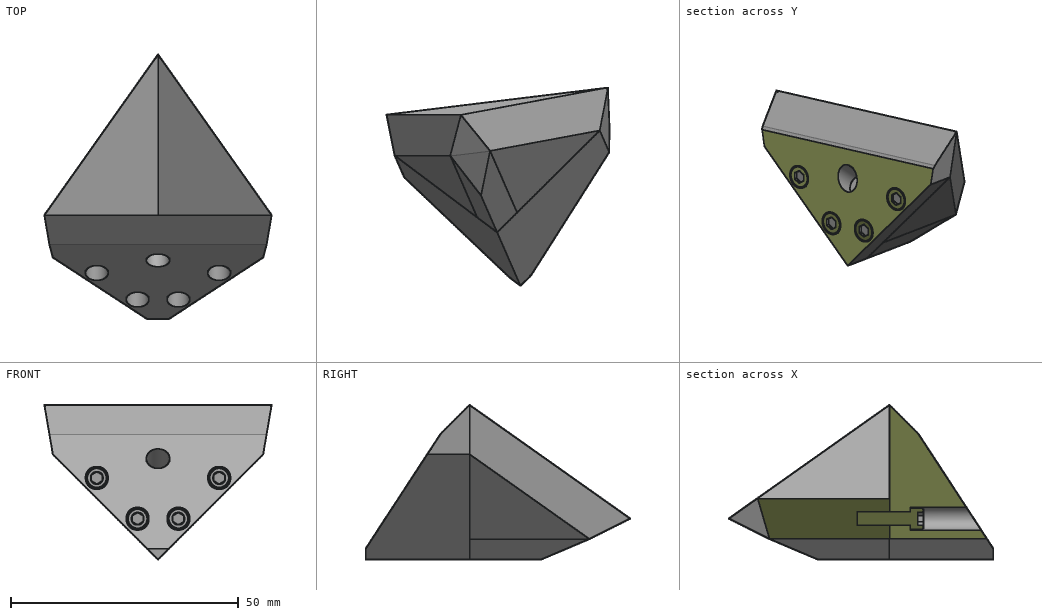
import cadquery as cq
import math


aperture_edge = 50.0
height = 34.0
overall_length = 58.2
nose_height = 2.4
top_chamfer = 6.4
keel_bottom_length = 15.8

post_hole_dia = 5.1
post_hole_depth = 9.0
post_hole_height = 22.2

screw_offsets = (4.5, 13.45)
recess_dia = 5.0
recess_floor = 4.65
head_dia = 4.65
head_height = 2.85
head_chamfer = 0.25
shank_dia = 2.85
thread_engagement = 7.0
socket_flats = 2.4
socket_depth = 1.3
socket_lead_in = 0.1

mirror_leg = aperture_edge / math.sqrt(2)
half_width = aperture_edge / 2
inner_corner_z = height - half_width
front_length = overall_length - mirror_leg
half_vee = inner_corner_z / 2

diagonal = math.sqrt(0.5)
rim_normal = cq.Vector((1 + diagonal) / 2, 0.5, (diagonal - 1) / 2)
rim_corner = (
    rim_normal.x * half_width + rim_normal.z * height
) / (rim_normal.x + rim_normal.z)
plate_end_y = (rim_corner - half_vee) * math.sqrt(2)


def side_profile(points):
    """Slab as wide as the part whose YZ outline is `points`."""
    return cq.Workplane("YZ").polyline(points).close().extrude(half_width, both=True)


def screw_axes():
    """X and Z of each screw axis, at mid-thickness of the plates."""
    return [(side * x, x + half_vee) for x in screw_offsets for side in (-1, 1)]


def rod(x, z, diameter, y_start, y_end):
    """Cylinder parallel to Y."""
    return (
        cq.Workplane("XZ", origin=(x, y_start, z))
        .circle(diameter / 2)
        .extrude(y_start - y_end)
    )


def make_front_block():
    section = [
        (0, 0),
        (rim_corner, rim_corner),
        (half_width, height),
        (-half_width, height),
        (-rim_corner, rim_corner),
    ]
    block = cq.Workplane("XZ").polyline(section).close().extrude(front_length)
    shoulder_z = height - top_chamfer
    block = block.intersect(side_profile([
        (0, 0),
        (-front_length, 0),
        (-front_length, nose_height),
        (-top_chamfer, shoulder_z),
        (0, height),
    ]))

    run = front_length - top_chamfer
    rise = shoulder_z - nose_height
    post_hole_y = -front_length + (post_hole_height - nose_height) * run / rise
    front_face = cq.Plane(
        origin=(0, post_hole_y, post_hole_height), xDir=(1, 0, 0), normal=(0, -rise, run)
    )
    block = block.cut(cq.Workplane(front_face).circle(post_hole_dia / 2).extrude(-post_hole_depth))

    for x, z in screw_axes():
        block = block.cut(rod(x, z, recess_dia, -front_length, -recess_floor))
        block = block.cut(rod(x, z, shank_dia, -recess_floor, 0))
    return block


def make_plate(side):
    """Mirror plate on the +X (side = 1) or -X (side = -1) flank of the V."""
    section = [
        (0, inner_corner_z),
        (side * half_width, height),
        (side * rim_corner, rim_corner),
        (side * half_vee, half_vee),
    ]
    plate = cq.Workplane("XZ").polyline(section).close().extrude(-mirror_leg)
    rim = cq.Plane(
        origin=(side * half_width, 0, height),
        xDir=(-side * half_width, mirror_leg, -half_width),
        normal=(side * rim_normal.x, rim_normal.y, rim_normal.z),
    )
    waste_size = 4 * aperture_edge
    plate = plate.cut(cq.Workplane(rim).rect(waste_size, waste_size).extrude(waste_size))
    for x, z in screw_axes():
        if x * side > 0:
            plate = plate.cut(rod(x, z, shank_dia, 0, thread_engagement))
    return plate


def make_keel():
    """Square bar on edge that fills the gap between the two plates."""
    section = [(0, 0), (half_vee, half_vee), (0, inner_corner_z), (-half_vee, half_vee)]
    bar = cq.Workplane("XZ").polyline(section).close().extrude(-mirror_leg)
    return bar.intersect(side_profile([
        (0, 0),
        (keel_bottom_length, 0),
        (plate_end_y, half_vee),
        (mirror_leg, inner_corner_z),
        (0, inner_corner_z),
    ]))


def make_screw(x, z):
    """Socket head cap screw with its head seated on the recess floor."""
    head_top = -recess_floor - head_height
    head = rod(x, z, head_dia, head_top, -recess_floor).faces("<Y").edges().chamfer(head_chamfer)
    screw = head.union(rod(x, z, shank_dia, -recess_floor, thread_engagement))
    socket_corners = socket_flats / math.cos(math.pi / 6)
    socket = (
        cq.Workplane("XZ", origin=(x, head_top, z))
        .transformed(rotate=(0, 0, 30))
        .polygon(6, socket_corners)
        .extrude(-socket_depth)
    )
    lead_in = cq.Workplane(obj=cq.Solid.makeCone(
        socket_corners / 2,
        socket_corners / 2 - socket_lead_in,
        socket_lead_in,
        pnt=cq.Vector(x, head_top, z),
        dir=cq.Vector(0, 1, 0),
    ))
    return screw.cut(socket).cut(lead_in)


front_block = make_front_block()
plates = [make_plate(side) for side in (-1, 1)]
keel = make_keel()
screws = [make_screw(x, z) for x, z in screw_axes()]

result = cq.Compound.makeCompound(
    [front_block.val(), keel.val()]
    + [plate.val() for plate in plates]
    + [screw.val() for screw in screws]
)